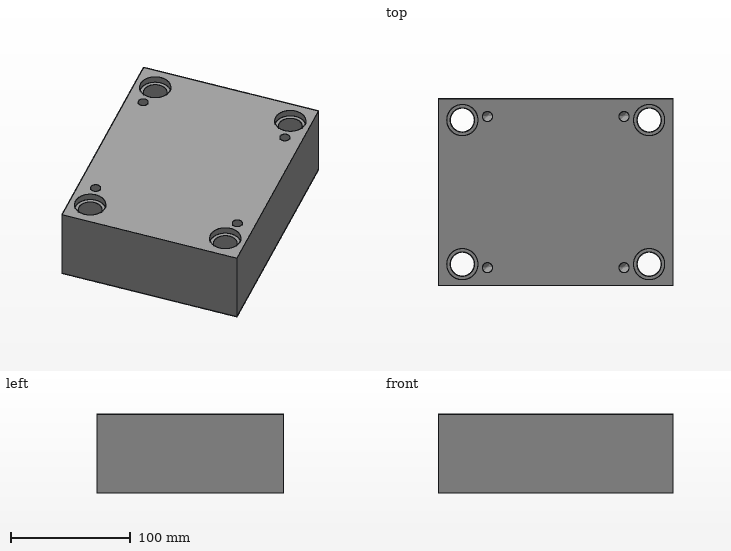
import cadquery as cq
import math

length = 195.7
width = 155.8
height = 66.0

bolt_x = 77.9
bolt_y = 60.0
bolt_diameter = 20.0
counterbore_diameter = 26.0
counterbore_depth = 6.0

drill_x = 57.0
drill_y = 63.0
drill_diameter = 8.5
drill_depth = 19.5
drill_tip_angle = 118.0


def four_corners(x, y):
    """Return points mirrored about both centre planes."""
    return [(sx * x, sy * y) for sx in (-1, 1) for sy in (-1, 1)]


def top_points(body, points):
    """Place points on the top face, measured from the block centre."""
    return body.faces(">Z").workplane(origin=(0, 0, height)).pushPoints(points)


block = cq.Workplane("XY").box(length, width, height, centered=(True, True, False))

bored = top_points(block, four_corners(bolt_x, bolt_y)).cboreHole(
    bolt_diameter, counterbore_diameter, counterbore_depth
)

tip_height = drill_diameter / 2 / math.tan(math.radians(drill_tip_angle / 2))
drill = (
    cq.Workplane("XZ")
    .moveTo(0, height)
    .lineTo(drill_diameter / 2, height)
    .lineTo(drill_diameter / 2, height - drill_depth)
    .lineTo(0, height - drill_depth - tip_height)
    .close()
    .revolve(360, (0, 0, 0), (0, 1, 0))
)

result = bored
for x, y in four_corners(drill_x, drill_y):
    result = result.cut(drill.translate((x, y, 0)))